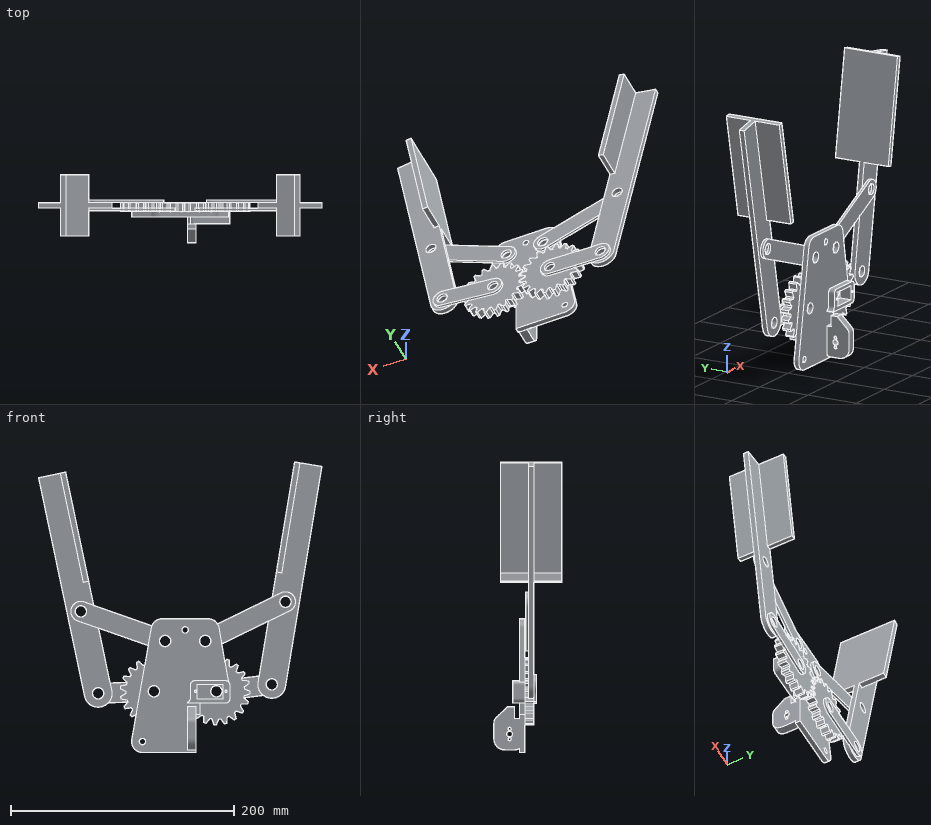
import cadquery as cq
import math

pivot_hole_d = 10.0

finger_thick = 5.0
arm_thick = 2.5
link_thick = 2.5
gear_thick = 8.0
plate_thick = 5.0
frame_thick = 6.0
finger_back = finger_thick / 2
arm_back = finger_back + arm_thick
link_back = finger_back - finger_thick
plate_back = finger_back - gear_thick
plate_front = plate_back - plate_thick

gear_pivot_x = 28.0
link_pivot_x = 18.0
link_pivot_z = 45.0
arm_reach = 50.0
bar_width = 18.0
left_arm_rise = -2.1
right_arm_rise = 7.1
left_finger_lean = 11.9
right_finger_lean = 9.4

finger_length = 200.0
finger_width = 25.0
finger_link_offset = 75.0
pad_length = 100.0
pad_thick = 5.0
pad_depth = 55.0

gear_teeth = 20
gear_pitch_r = gear_pivot_x
gear_tip_r = 30.2
gear_root_r = 25.0
tooth_pitch_width = 4.0
pressure_angle = 20
left_gear_phase = -6.8
right_gear_phase = -2.2

plate_top_z = 65.1
plate_bottom_z = -55.0
plate_top_half_width = 29.0
plate_bottom_left_x = -50.0
plate_lower_right_x = 10.0
plate_corner_r = 10.0
screw_hole_d = 5.5
top_screw_z = 55.0
bottom_screw_x = -38.3
bottom_screw_z = -45.0
step_right_x = 13.3
step_bottom_z = -20.5

frame_center_x = 22.5
frame_center_z = -0.5
frame_width = 35.5
frame_height = 20.0
frame_corner_r = 4.0
frame_flare_r = 4.7
window_width = 23.2
window_height = 13.0
frame_screw_d = 2.0
frame_screw_x = 23.0
frame_screw_spacing = 27.4

fin_thick = 8.0
fin_left_x = plate_lower_right_x - fin_thick
fin_front_y = -33.48
fin_top_z = -13.8
fin_bottom_z = -52.5
fin_slot_width = 4.2
fin_slot_bottom_z = -24.2
fin_nose_y = -21.0
fin_shoulder_z = -25.5
fin_shoulder_r = 7.3
fin_corner_r = 10.0
fin_hole_y = -19.3
fin_hole_z = -38.3
fin_hole_d = 5.0
fin_screw_d = 2.5
fin_screw_spacing = 9.0


def layer(back_y):
    """Sketch plane at back_y that extrudes forward, towards -Y."""
    return cq.Workplane("XZ", origin=(0, back_y, 0))


def drill(body, points, diameter):
    """Cut holes along Y, right through the body, at the given (x, z) points."""
    return body.cut(layer(arm_back).pushPoints(points).circle(diameter / 2).extrude(arm_back - fin_front_y))


def make_bar(start, end, width, back_y, thick):
    """Flat bar with round ends and a pivot hole at each end."""
    run = end[0] - start[0]
    rise = end[1] - start[1]
    length = math.hypot(run, rise)
    middle = ((start[0] + end[0]) / 2, (start[1] + end[1]) / 2)
    bar = (
        layer(back_y)
        .center(*middle)
        .slot2D(length + width, width, math.degrees(math.atan2(rise, run)))
        .extrude(thick)
    )
    return drill(bar, [start, end], pivot_hole_d)


def make_finger(pivot, lean, side):
    """Finger leaning outwards, with a wide gripping pad along its inner edge."""
    half_width = finger_width / 2
    finger = (
        layer(finger_back)
        .moveTo(-half_width, 0)
        .threePointArc((0, -half_width), (half_width, 0))
        .lineTo(half_width, finger_length)
        .lineTo(-half_width, finger_length)
        .close()
        .extrude(finger_thick)
    )
    pad = cq.Workplane("XY").box(pad_thick, pad_depth, pad_length).translate(
        (side * (pad_thick / 2 - half_width), 0, finger_length - pad_length / 2)
    )
    finger = drill(finger.union(pad), [(0, 0), (0, finger_link_offset)], pivot_hole_d)
    return finger.rotate((0, 0, 0), (0, 1, 0), side * lean).translate((pivot[0], 0, pivot[1]))


def make_gear(center, phase):
    """Spur gear with straight-flanked teeth; one tooth points at the phase angle from +X."""
    slope = math.tan(math.radians(pressure_angle))
    root_half = tooth_pitch_width / 2 + (gear_pitch_r - gear_root_r) * slope
    tip_half = tooth_pitch_width / 2 - (gear_tip_r - gear_pitch_r) * slope
    tooth = [
        (gear_root_r, -root_half),
        (gear_tip_r, -tip_half),
        (gear_tip_r, tip_half),
        (gear_root_r, root_half),
    ]
    outline = []
    for index in range(gear_teeth):
        turn = math.radians(phase + index * 360 / gear_teeth)
        for along, across in tooth:
            outline.append((
                along * math.cos(turn) - across * math.sin(turn),
                along * math.sin(turn) + across * math.cos(turn),
            ))
    gear = layer(finger_back).center(*center).polyline(outline).close().extrude(gear_thick)
    return drill(gear, [center], pivot_hole_d)


def make_plate():
    """Tapered plate with a step at its lower right that reaches under the servo frame."""
    taper = (plate_top_half_width + plate_bottom_left_x) / (plate_top_z - plate_bottom_z)
    taper_end_z = frame_center_z + frame_height / 2 - frame_corner_r
    taper_end_x = plate_top_half_width - taper * (plate_top_z - taper_end_z)
    plate = (
        layer(plate_back)
        .moveTo(-plate_top_half_width, plate_top_z)
        .lineTo(plate_top_half_width, plate_top_z)
        .lineTo(taper_end_x, taper_end_z)
        .lineTo(step_right_x, taper_end_z)
        .lineTo(step_right_x, step_bottom_z)
        .lineTo(plate_lower_right_x, step_bottom_z)
        .lineTo(plate_lower_right_x, plate_bottom_z)
        .lineTo(plate_bottom_left_x, plate_bottom_z)
        .close()
        .extrude(plate_thick)
    )
    return plate.edges("|Y").edges(">Z or <X").fillet(plate_corner_r)


def make_frame_block():
    """Rounded block through plate and frame, with a concave flare at its lower left corner."""
    block = (
        layer(plate_back)
        .center(frame_center_x, frame_center_z)
        .rect(frame_width, frame_height)
        .extrude(plate_thick + frame_thick)
        .edges("|Y")
        .fillet(frame_corner_r)
    )
    left_x = frame_center_x - frame_width / 2
    bottom_z = frame_center_z - frame_height / 2
    arc_center_offset = frame_flare_r - (left_x - fin_left_x)
    flare_tip_z = bottom_z + frame_flare_r - math.sqrt(frame_flare_r**2 - arc_center_offset**2)
    inner_x = left_x + frame_corner_r
    flare = (
        layer(plate_front)
        .moveTo(fin_left_x, bottom_z)
        .lineTo(fin_left_x, flare_tip_z)
        .radiusArc((left_x, bottom_z + frame_flare_r), -frame_flare_r)
        .lineTo(inner_x, bottom_z + frame_flare_r)
        .lineTo(inner_x, bottom_z)
        .close()
        .extrude(frame_thick)
    )
    return block.union(flare)


def make_fin():
    """Upright fin, rounded about its hole, with a slot between its hooked top and the plate."""
    slot_front_y = plate_front - fin_slot_width
    fin_back_y = 2 * fin_hole_y - fin_front_y
    fin = (
        cq.Workplane("YZ", origin=(fin_left_x, 0, 0))
        .moveTo(fin_back_y, fin_bottom_z)
        .lineTo(fin_back_y, fin_slot_bottom_z)
        .lineTo(slot_front_y, fin_slot_bottom_z)
        .lineTo(slot_front_y, fin_top_z)
        .lineTo(fin_nose_y, fin_top_z)
        .lineTo(fin_front_y, fin_shoulder_z)
        .lineTo(fin_front_y, fin_bottom_z)
        .close()
        .extrude(fin_thick)
    )
    fin = fin.edges("|X and <Z").fillet(fin_corner_r)
    shoulder_point = (fin_left_x + fin_thick / 2, fin_front_y, fin_shoulder_z)
    shoulder_edge = cq.selectors.NearestToPointSelector(shoulder_point)
    fin = fin.edges(shoulder_edge).fillet(fin_shoulder_r)
    front_space = cq.Workplane("XY").box(
        fin_thick, plate_front - fin_front_y, fin_top_z - fin_bottom_z, centered=False
    ).translate((fin_left_x, fin_front_y, fin_bottom_z))
    fin = fin.intersect(front_space)
    hole_centers = cq.Workplane("YZ").center(fin_hole_y, fin_hole_z)
    hole = hole_centers.circle(fin_hole_d / 2).extrude(plate_lower_right_x)
    screw_centers = hole_centers.rarray(2.5, fin_screw_spacing, 1, 2)
    screws = screw_centers.circle(fin_screw_d / 2).extrude(plate_lower_right_x)
    return fin.cut(hole).cut(screws)


def make_base():
    """Plate, servo frame and fin in one piece, with all their openings."""
    base = make_plate().union(make_frame_block()).union(make_fin())
    window = (
        layer(plate_back)
        .center(frame_center_x, frame_center_z)
        .rect(window_width, window_height)
        .extrude(plate_thick + frame_thick)
    )
    base = base.cut(window)
    link_pivots = [(-link_pivot_x, link_pivot_z), (link_pivot_x, link_pivot_z)]
    base = drill(base, link_pivots + [(-gear_pivot_x, 0)], pivot_hole_d)
    base = drill(base, [(0, top_screw_z), (bottom_screw_x, bottom_screw_z)], screw_hole_d)
    half_spacing = frame_screw_spacing / 2
    frame_screws = [(frame_screw_x + offset, 0) for offset in (-half_spacing, half_spacing)]
    return drill(base, frame_screws, frame_screw_d)


poses = [
    (-1, left_arm_rise, left_finger_lean, left_gear_phase),
    (1, right_arm_rise, right_finger_lean, right_gear_phase),
]

bodies = [make_base().val()]
for side, arm_rise, finger_lean, gear_phase in poses:
    rise = math.radians(arm_rise)
    lean = math.radians(finger_lean)
    gear_pivot = (side * gear_pivot_x, 0)
    base_link_pivot = (side * link_pivot_x, link_pivot_z)
    finger_pivot = (side * (gear_pivot_x + arm_reach * math.cos(rise)), arm_reach * math.sin(rise))
    finger_link_pivot = (
        finger_pivot[0] + side * finger_link_offset * math.sin(lean),
        finger_pivot[1] + finger_link_offset * math.cos(lean),
    )
    gear = make_gear(gear_pivot, gear_phase)
    arm = make_bar(gear_pivot, finger_pivot, bar_width, arm_back, arm_thick)
    link = make_bar(base_link_pivot, finger_link_pivot, bar_width, link_back, link_thick)
    finger = make_finger(finger_pivot, finger_lean, side)
    bodies += [gear.val(), arm.val(), link.val(), finger.val()]

result = cq.Compound.makeCompound(bodies)